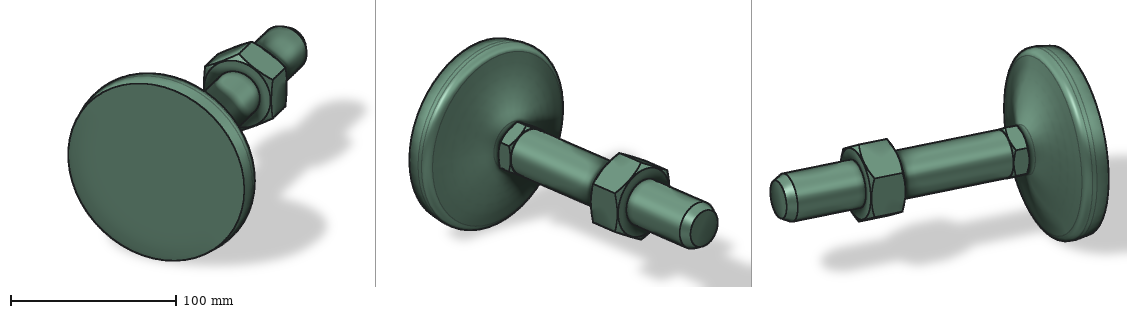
import cadquery as cq
import math

total_length = 193.5

foot_diameter = 120.0
sole_diameter = 117.3
taper_height = 8.7
rim_height = 11.6
shoulder_height = 16.8
shoulder_radius = 55.7
crown_edge_radius = 15.5
crown_edge_height = 29.2
crown_height = 32.7
crown_contact_diameter = 10.0
flare_sag = 1.7

stud_diameter = 30.0
stud_tip_diameter = 23.6
tip_length = 6.0

stud_hex_flats = stud_diameter
stud_hex_start = crown_height
stud_hex_length = 10.6
nut_flats = 45.0
nut_start = 118.8
nut_length = 23.2
hex_chamfer_angle = 30.0
chamfer_circle_ratio = 0.98


def revolve_about_y(profile):
    return profile.close().revolve(360, (0, 0, 0), (0, 1, 0))


def arc_midpoint(start, end, bulge):
    """Point offset by bulge to the left of the middle of the chord."""
    dx = end[0] - start[0]
    dy = end[1] - start[1]
    chord = math.hypot(dx, dy)
    middle_x = (start[0] + end[0]) / 2
    middle_y = (start[1] + end[1]) / 2
    return (middle_x - bulge * dy / chord, middle_y + bulge * dx / chord)


def make_foot():
    rim = (foot_diameter / 2, rim_height)
    shoulder = (shoulder_radius, shoulder_height)
    crown_edge = (crown_edge_radius, crown_edge_height)
    crown_contact = (crown_contact_diameter / 2, crown_height)
    profile = (
        cq.Workplane("XY")
        .lineTo(sole_diameter / 2, 0)
        .lineTo(foot_diameter / 2, taper_height)
        .lineTo(*rim)
        .tangentArcPoint(shoulder, relative=False)
        .threePointArc(arc_midpoint(shoulder, crown_edge, flare_sag), crown_edge)
        .tangentArcPoint(crown_contact, relative=False)
        .lineTo(0, crown_height)
    )
    return revolve_about_y(profile)


def make_stud():
    stud_radius = stud_diameter / 2
    stud_start = stud_hex_start + stud_hex_length
    profile = (
        cq.Workplane("XY")
        .moveTo(0, stud_start)
        .lineTo(stud_radius, stud_start)
        .lineTo(stud_radius, total_length - tip_length)
        .lineTo(stud_tip_diameter / 2, total_length)
        .lineTo(0, total_length)
    )
    return revolve_about_y(profile)


def make_hexagon(flats, start, length):
    """Hexagonal prism along Y, corners on the Z axis, both ends chamfered by a cone."""
    corner_diameter = flats / math.cos(math.radians(30))
    corner_radius = corner_diameter / 2
    face_radius = flats * chamfer_circle_ratio / 2
    drop = (corner_radius - face_radius) * math.tan(math.radians(hex_chamfer_angle))
    end = start + length
    prism = (
        cq.Workplane("XZ", origin=(0, start, 0))
        .transformed(rotate=(0, 0, 90))
        .polygon(6, corner_diameter)
        .extrude(-length)
    )
    envelope = revolve_about_y(
        cq.Workplane("XY")
        .moveTo(0, start)
        .lineTo(face_radius, start)
        .lineTo(corner_radius, start + drop)
        .lineTo(corner_radius, end - drop)
        .lineTo(face_radius, end)
        .lineTo(0, end)
    )
    return prism.intersect(envelope)


stud_hex = make_hexagon(stud_hex_flats, stud_hex_start, stud_hex_length)
nut = make_hexagon(nut_flats, nut_start, nut_length)
result = make_foot().union(make_stud()).union(stud_hex).union(nut)